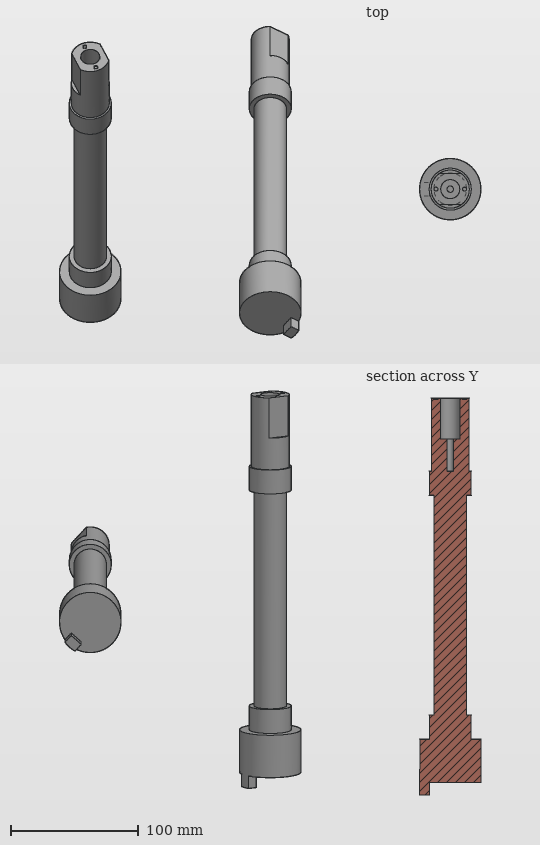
import cadquery as cq

total_height = 311.2
key_height = 10.0
flange_height = 34.0
collar_height = 19.0
journal_height = 57.3
shaft_height = total_height - key_height - flange_height - 2 * collar_height - journal_height

flange_diameter = 48.2
collar_diameter = 33.0
shaft_diameter = 25.5
journal_diameter = 30.0

key_width = 10.5
key_inner_offset = 16.2

flats_distance = 24.3
flats_height = 32.0

bore_diameter = 5.0
bore_depth = journal_height
mouth_diameter = 15.0
mouth_depth = flats_height

recess_diameter = 3.0
recess_depth = 1.0
recess_offset = (mouth_diameter + journal_diameter) / 4


def stacked_body():
    """Coaxial cylinders, from the flange up to the journal."""
    sections = [
        (flange_diameter, flange_height),
        (collar_diameter, collar_height),
        (shaft_diameter, shaft_height),
        (collar_diameter, collar_height),
        (journal_diameter, journal_height),
    ]
    body = cq.Workplane("XY").workplane(offset=key_height)
    for diameter, height in sections:
        body = body.circle(diameter / 2).extrude(height).faces(">Z").workplane()
    return body


def drive_key():
    """Key on the -X side, with its outer face flush with the flange rim."""
    flange_radius = flange_diameter / 2
    key_center = -(flange_radius + key_inner_offset) / 2
    bar = (
        cq.Workplane("XY")
        .center(key_center, 0)
        .rect(flange_radius - key_inner_offset, key_width)
        .extrude(key_height)
    )
    rim = cq.Workplane("XY").circle(flange_radius).extrude(key_height)
    return bar.intersect(rim)


def wrench_flats():
    """Material to remove on the -Y and +Y sides of the journal."""
    cut_depth = (journal_diameter - flats_distance) / 2
    cut_center = (journal_diameter + flats_distance) / 4
    return (
        cq.Workplane("XY")
        .workplane(offset=total_height - flats_height)
        .pushPoints([(0, -cut_center), (0, cut_center)])
        .rect(journal_diameter, cut_depth)
        .extrude(flats_height)
    )


def top_hole(diameter, depth, x=0.0):
    """Cylinder sunk from the top face at the given X, to be cut away."""
    return (
        cq.Workplane("XY")
        .workplane(offset=total_height - depth)
        .center(x, 0)
        .circle(diameter / 2)
        .extrude(depth)
    )


result = stacked_body().union(drive_key()).cut(wrench_flats())
result = result.cut(top_hole(bore_diameter, bore_depth))
result = result.cut(top_hole(mouth_diameter, mouth_depth))
for side in (-1, 1):
    result = result.cut(top_hole(recess_diameter, recess_depth, side * recess_offset))